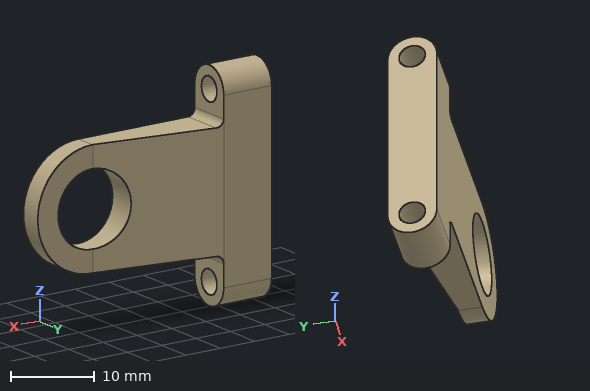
import cadquery as cq

total_length = 32.0
base_height = 30.0
base_thickness = 6.0
base_length = 7.0
lug_radius = 8.0
lug_thickness = 3.0
lug_hole_diameter = 10.0
mount_hole_diameter = 3.2
corner_radius = 1.0

lug_center_x = total_length - lug_radius
mount_hole_spacing = base_height - base_thickness


def make_base():
    """Bar with round ends and a mounting hole on each end axis."""
    section = cq.Workplane("YZ").center(base_thickness / 2, 0)
    bar = section.slot2D(base_height, base_thickness, 90).extrude(base_length)
    holes = (
        section.pushPoints([(0, side * mount_hole_spacing / 2) for side in (-1, 1)])
        .circle(mount_hole_diameter / 2)
        .extrude(base_length)
    )
    return bar.cut(holes)


def make_arm_outline():
    """Arm and round lug in the XZ plane, flared by an arc at each base corner."""
    flare_x = base_length + corner_radius
    flare_z = lug_radius + corner_radius
    arc_offset = corner_radius * (1 - 0.5 ** 0.5)
    arc_x = base_length + arc_offset
    arc_z = lug_radius + arc_offset
    return (
        cq.Workplane("XZ")
        .moveTo(base_length, -flare_z)
        .threePointArc((arc_x, -arc_z), (flare_x, -lug_radius))
        .lineTo(lug_center_x, -lug_radius)
        .threePointArc((total_length, 0), (lug_center_x, lug_radius))
        .lineTo(flare_x, lug_radius)
        .threePointArc((arc_x, arc_z), (base_length, flare_z))
        .close()
        .extrude(-base_thickness)
    )


def make_arm():
    """Arm tapering in thickness from the base to the lug, with the lug bored through."""
    taper = (
        cq.Workplane("XY")
        .moveTo(base_length, 0)
        .lineTo(total_length, 0)
        .lineTo(total_length, lug_thickness)
        .lineTo(lug_center_x, lug_thickness)
        .lineTo(base_length, base_thickness)
        .close()
        .extrude(base_height / 2, both=True)
    )
    bore = (
        cq.Workplane("XZ")
        .center(lug_center_x, 0)
        .circle(lug_hole_diameter / 2)
        .extrude(-base_thickness)
    )
    return make_arm_outline().intersect(taper).cut(bore)


result = make_base().union(make_arm())